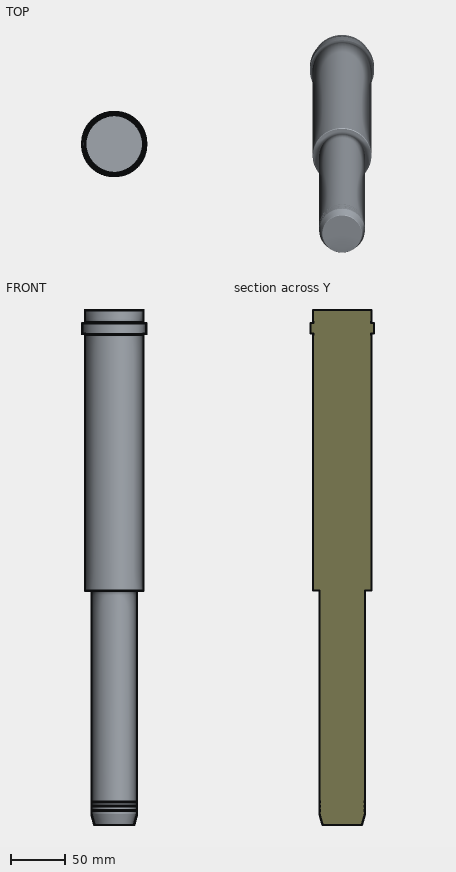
import cadquery as cq

total_height = 473.0
pin_diameter = 42.0
body_diameter = 54.0
collar_diameter = 59.0

shoulder_z = 215.0
collar_height = 10.0
head_height = 12.0
collar_top_z = total_height - head_height
collar_bottom_z = collar_top_z - collar_height

edge_chamfer = 0.5
foot_chamfer = 0.3

neck_depth = 0.25
neck_clearance = 1.0

foot_diameter = 36.5
lead_in_height = 10.0

groove_depth = 0.25
groove_width = 1.0
groove_pitch = 4.0
groove_count = 3
first_groove_z = 13.0


def cylinder(diameter, bottom_z, top_z):
    """Solid round bar on the Z axis between two levels."""
    return cq.Workplane("XY").workplane(offset=bottom_z).circle(diameter / 2).extrude(top_z - bottom_z)


def cut_groove(bar, diameter, depth, bottom_z, top_z):
    """Turn a square groove into a bar of the given diameter."""
    core = cylinder(diameter - 2 * depth, bottom_z, top_z)
    ring = cylinder(diameter, bottom_z, top_z).cut(core)
    return bar.cut(ring)


def make_pin():
    """Pin with a chamfered foot, a conical lead-in and grooves, reaching up to the shoulder."""
    lead_in = (
        cq.Workplane("XY")
        .circle(foot_diameter / 2)
        .workplane(offset=lead_in_height)
        .circle(pin_diameter / 2)
        .loft(ruled=True)
        .faces("<Z")
        .chamfer(foot_chamfer)
    )
    pin = cylinder(pin_diameter, lead_in_height, shoulder_z).union(lead_in)
    for index in range(groove_count):
        bottom_z = first_groove_z + index * groove_pitch
        pin = cut_groove(pin, pin_diameter, groove_depth, bottom_z, bottom_z + groove_width)
    return pin


def make_body():
    """Upper bar with both end edges broken and a neck for the collar."""
    body = cylinder(body_diameter, shoulder_z, total_height).edges("%CIRCLE").chamfer(edge_chamfer)
    neck_bottom_z = collar_bottom_z - neck_clearance
    neck_top_z = collar_top_z + neck_clearance
    return cut_groove(body, body_diameter, neck_depth, neck_bottom_z, neck_top_z)


def make_collar():
    """Collar with its upper outer edge broken."""
    collar = cylinder(collar_diameter, collar_bottom_z, collar_top_z)
    return collar.faces(">Z").edges().chamfer(edge_chamfer)


result = make_pin().union(make_body()).union(make_collar())